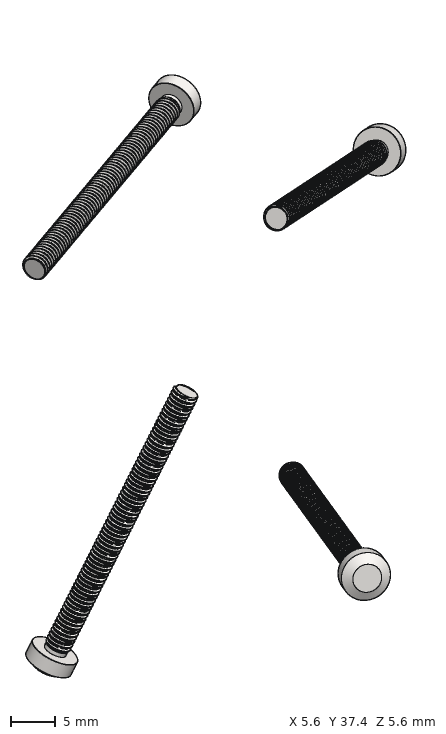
import cadquery as cq
import math

total_length = 37.4

head_diameter = 5.6
head_rim_height = 1.75
head_cone_height = 0.65
head_top_diameter = 3.3
seat_edge_chamfer = 0.05
head_height = head_rim_height + head_cone_height

thread_diameter = 3.0
root_diameter = 2.45
shank_length = total_length - head_height
shank_pitches = 70
thread_pitch = shank_length / shank_pitches
thread_turns = shank_pitches - 1
flank_half_angle = 30.0
root_flat = thread_pitch / 4
flank_steps = 8
crest_angle_at_tip = 20.0

neck_diameter = 2.65
runout_length = 0.37
tip_chamfer = 0.15

section_turns = 3
section_count = thread_turns // section_turns
section_length = section_turns * thread_pitch
thread_length = thread_turns * thread_pitch


def polar(radius, angle):
    """Point at a radius and an angle in degrees."""
    return radius * math.cos(math.radians(angle)), radius * math.sin(math.radians(angle))


def make_thread_section():
    """Whole turns of thread along Z: the cross-section of the thread twisted along its axis."""
    crest_radius = thread_diameter / 2
    root_radius = root_diameter / 2
    thread_depth = crest_radius - root_radius
    flank_width = thread_depth * math.tan(math.radians(flank_half_angle))
    flank_angle = 360 * flank_width / thread_pitch
    crest_half_angle = 180 - 180 * root_flat / thread_pitch - flank_angle

    def flank(side):
        """Spiral from crest to root, on the +1 or the -1 side of the crest."""
        shares = [step / flank_steps for step in range(flank_steps + 1)]
        return [
            polar(crest_radius - share * thread_depth, side * (crest_half_angle + share * flank_angle))
            for share in shares
        ]

    leading = flank(1)
    trailing = flank(-1)[::-1]
    profile = (
        cq.Workplane("XY")
        .moveTo(*trailing[-1])
        .threePointArc((crest_radius, 0), leading[0])
        .spline(leading[1:], includeCurrent=True)
        .threePointArc((-root_radius, 0), trailing[0])
        .spline(trailing[1:], includeCurrent=True)
        .close()
    )
    section = profile.twistExtrude(section_length, 360 * section_turns)
    return section.rotate((0, 0, 0), (0, 0, 1), -crest_angle_at_tip)


def make_thread_envelope():
    """Solid of revolution that chamfers the tip and tapers the run-out down to the neck."""
    crest_radius = thread_diameter / 2
    neck_radius = neck_diameter / 2
    clearance = 0.37
    runout_slope = runout_length / (crest_radius - neck_radius)
    profile = (
        cq.Workplane("XZ")
        .lineTo(crest_radius - tip_chamfer, 0)
        .lineTo(crest_radius + clearance, tip_chamfer + clearance)
        .lineTo(crest_radius + clearance, thread_length - runout_length - runout_slope * clearance)
        .lineTo(neck_radius, thread_length)
        .lineTo(0, thread_length)
        .close()
    )
    return profile.revolve(360, (0, 0, 0), (0, 1, 0))


def make_head():
    """Neck and head along Z, starting where the thread stops."""
    neck_radius = neck_diameter / 2
    head_radius = head_diameter / 2
    seat_z = shank_length
    rim_z = seat_z + head_rim_height
    profile = (
        cq.Workplane("XZ")
        .moveTo(0, thread_length)
        .lineTo(neck_radius, thread_length)
        .lineTo(neck_radius, seat_z)
        .lineTo(head_radius - seat_edge_chamfer, seat_z)
        .lineTo(head_radius, seat_z + seat_edge_chamfer)
        .lineTo(head_radius, rim_z)
        .lineTo(head_top_diameter / 2, total_length)
        .lineTo(0, total_length)
        .close()
    )
    return profile.revolve(360, (0, 0, 0), (0, 1, 0))


def make_screw():
    """Complete screw along Z, with the tip at the origin."""
    section = make_thread_section()
    sections = [section.translate((0, 0, index * section_length)) for index in range(section_count)]
    envelope = make_thread_envelope()
    sections[0] = sections[0].intersect(envelope)
    sections[-1] = sections[-1].intersect(envelope).union(make_head())
    skin = [sections[0].faces("<Z").val(), sections[-1].faces(">Z").val()]
    for piece in sections:
        skin += piece.faces("not(<Z or >Z)").vals()
    return cq.Workplane(cq.Solid.makeSolid(cq.Shell.makeShell(skin)))


result = make_screw().rotate((0, 0, 0), (1, 0, 0), -90).translate((0, -total_length / 2, 0))